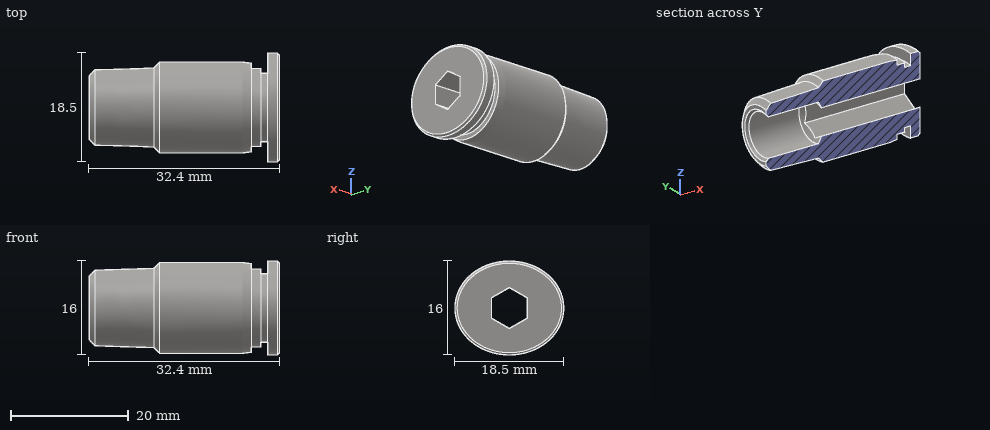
import cadquery as cq
import math

plug_chamfer_end = 1.0
plug_end = 11.0
body_start = 12.0
body_end = 26.1
body_relief_end = 27.6
collar_end = 29.2
flange_start = 30.35
overall_length = 32.4

plug_tip_radius = 5.4
plug_taper = 1 / 16
plug_front_radius = 6.45
plug_back_radius = plug_front_radius + (plug_end - plug_chamfer_end) * plug_taper / 2
body_radius = 7.75
body_relief_radius = 7.55
collar_radius = 6.65
neck_radius = 5.85

flange_width = 18.54
flange_height = 16.0
flange_chamfer = 0.4

bore_radius = 4.1
bore_mouth_radius = 4.6
bore_depth = plug_end
bore_floor_angle = 118
hex_sides = 6
hex_across_flats = 6.0
hex_across_corners = hex_across_flats / math.cos(math.pi / hex_sides)


def revolve_about_x(points):
    """Revolve a closed (x, radius) outline about the X axis."""
    return cq.Workplane("XZ").polyline(points).close().revolve(360, (0, 0, 0), (1, 0, 0))


def make_stepped_body():
    """Tapered plug, cylindrical body, collar and neck, as one turned solid."""
    return revolve_about_x([
        (0, 0),
        (0, plug_tip_radius),
        (plug_chamfer_end, plug_front_radius),
        (plug_end, plug_back_radius),
        (body_start, body_radius),
        (body_end, body_radius),
        (body_relief_end, body_relief_radius),
        (body_relief_end, collar_radius),
        (collar_end, collar_radius),
        (collar_end, neck_radius),
        (flange_start, neck_radius),
        (flange_start, 0),
    ])


def make_flange():
    """Elliptical end flange with a chamfered outer rim."""
    return (
        cq.Workplane("YZ", origin=(flange_start, 0, 0))
        .ellipse(flange_width / 2, flange_height / 2)
        .extrude(overall_length - flange_start)
        .faces(">X")
        .chamfer(flange_chamfer)
    )


def make_bore():
    """Round bore with a 45 degree mouth chamfer and a conical floor."""
    mouth_chamfer = bore_mouth_radius - bore_radius
    floor_depth = bore_radius / math.tan(math.radians(bore_floor_angle / 2))
    return revolve_about_x([
        (0, 0),
        (0, bore_mouth_radius),
        (mouth_chamfer, bore_radius),
        (bore_depth, bore_radius),
        (bore_depth + floor_depth, 0),
    ])


def make_hex_passage():
    """Hexagonal through passage with flats facing Y and corners on Z."""
    return (
        cq.Workplane("YZ")
        .transformed(rotate=(0, 0, 90))
        .polygon(hex_sides, hex_across_corners)
        .extrude(overall_length)
    )


result = make_stepped_body().union(make_flange()).cut(make_bore()).cut(make_hex_passage())